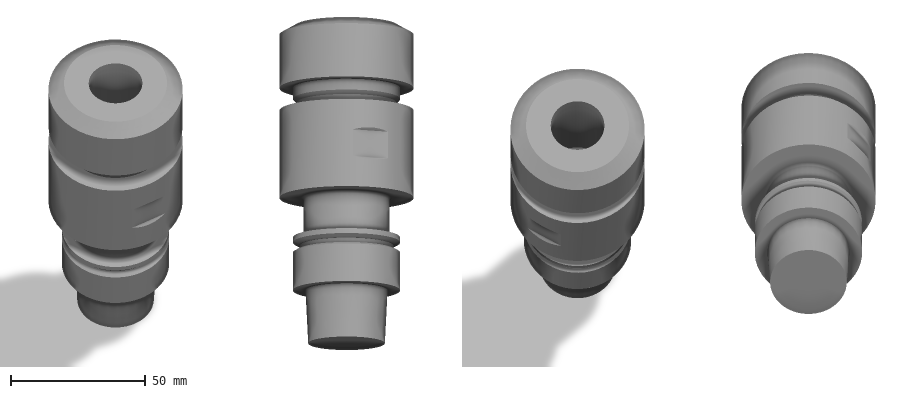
import cadquery as cq
import math

TOTAL_LENGTH = 120.0

taper_length = 20.0
taper_top_radius = 15.28
taper_ratio = 1 / 10
taper_bottom_radius = taper_top_radius - taper_length * taper_ratio / 2

flange_radius = 20.0
flange_height = 20.0
groove_bottom_z = 14.2
groove_top_z = 18.125
groove_flank_slope = math.tan(math.radians(30.0))
slot_floor_radius = 17.5
slot_bottom_z = 15.0
slot_top_z = 16.85
lower_ledge_radius = flange_radius - (slot_bottom_z - groove_bottom_z) / groove_flank_slope
upper_ledge_radius = flange_radius - (groove_top_z - slot_top_z) / groove_flank_slope

neck_radius = 16.0
neck_fillet = 1.0

body_radius = 25.0
body_bottom_z = 35.0
body_top_z = 68.0
flat_spacing = 48.0
flat_floor_height = 10.0
flat_center_z = (body_bottom_z + body_top_z) / 2

undercut_radius = 18.6
thread_radius = 20.0
lead_in_start_z = 71.0
lead_in_end_z = lead_in_start_z + thread_radius - undercut_radius

nut_radius = body_radius
nut_top_z = TOTAL_LENGTH - taper_length
nut_bottom_z = 76.5
nut_chamfer_height = 3.35
nut_chamfer_angle = 30.0
nut_face_radius = nut_radius - nut_chamfer_height / math.tan(math.radians(nut_chamfer_angle))

bore_radius = 10.0
bore_depth = 40.0


def turned_profile():
    """Half section of the chuck, radius along local X and height along local Y."""
    fillet_mid = neck_fillet * (1 - math.sqrt(0.5))
    return (
        cq.Workplane("XZ")
        .moveTo(0, -taper_length)
        .lineTo(taper_bottom_radius, -taper_length)
        .lineTo(taper_top_radius, 0)
        .lineTo(flange_radius, 0)
        .lineTo(flange_radius, groove_bottom_z)
        .lineTo(lower_ledge_radius, slot_bottom_z)
        .lineTo(slot_floor_radius, slot_bottom_z)
        .lineTo(slot_floor_radius, slot_top_z)
        .lineTo(upper_ledge_radius, slot_top_z)
        .lineTo(flange_radius, groove_top_z)
        .lineTo(flange_radius, flange_height)
        .lineTo(neck_radius + neck_fillet, flange_height)
        .threePointArc(
            (neck_radius + fillet_mid, flange_height + fillet_mid),
            (neck_radius, flange_height + neck_fillet),
        )
        .lineTo(neck_radius, body_bottom_z - neck_fillet)
        .threePointArc(
            (neck_radius + fillet_mid, body_bottom_z - fillet_mid),
            (neck_radius + neck_fillet, body_bottom_z),
        )
        .lineTo(body_radius, body_bottom_z)
        .lineTo(body_radius, body_top_z)
        .lineTo(undercut_radius, body_top_z)
        .lineTo(undercut_radius, lead_in_start_z)
        .lineTo(thread_radius, lead_in_end_z)
        .lineTo(thread_radius, nut_bottom_z)
        .lineTo(nut_radius, nut_bottom_z)
        .lineTo(nut_radius, nut_top_z - nut_chamfer_height)
        .lineTo(nut_face_radius, nut_top_z)
        .lineTo(0, nut_top_z)
        .close()
    )


def wrench_flat_cutter(side):
    """Trapezoidal cutter with 45 degree ends; side is +1 or -1 along X."""
    floor_x = flat_spacing / 2
    depth = body_radius - floor_x
    floor_half = flat_floor_height / 2
    mouth_half = floor_half + depth
    return (
        cq.Workplane("XZ")
        .polyline([
            (side * floor_x, flat_center_z - floor_half),
            (side * body_radius, flat_center_z - mouth_half),
            (side * body_radius, flat_center_z + mouth_half),
            (side * floor_x, flat_center_z + floor_half),
        ])
        .close()
        .extrude(body_radius, both=True)
    )


def collet_bore():
    """Blind cylindrical bore opening at the nut face."""
    return (
        cq.Workplane("XY")
        .workplane(offset=nut_top_z - bore_depth)
        .circle(bore_radius)
        .extrude(bore_depth)
    )


result = turned_profile().revolve(360, (0, 0, 0), (0, 1, 0))
for flat_side in (-1, 1):
    result = result.cut(wrench_flat_cutter(flat_side))
result = result.cut(collet_bore())